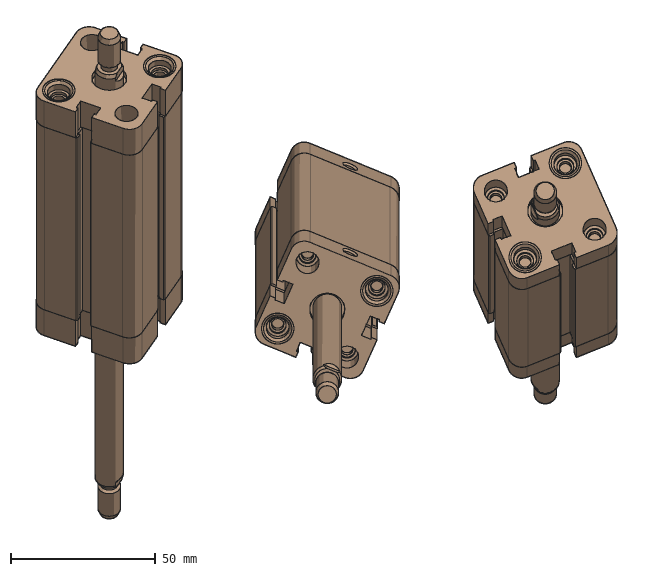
import cadquery as cq

TOTAL_LENGTH = 233.0
TOP_OVERHANG = 22.0
HOUSING_LENGTH = 114.0
CAP_LENGTH = 12.5
HOUSING_TOP = TOTAL_LENGTH - TOP_OVERHANG
HOUSING_BOTTOM = HOUSING_TOP - HOUSING_LENGTH
BARREL_LENGTH = HOUSING_LENGTH - 2 * CAP_LENGTH
HOUSING_MIDDLE = HOUSING_BOTTOM + HOUSING_LENGTH / 2

HOUSING_WIDTH = 40.3
BARREL_CORNER_RADIUS = 5.1
CAP_CORNER_RADIUS = 5.0

SLOT_DEPTH = 5.5
SLOT_LIP = 2.0
CAP_SLOT_MOUTH = 6.3
CAP_SLOT_INNER = 7.7
BARREL_SLOT_MOUTH = 5.0
BARREL_SLOT_INNER = 6.3
BARREL_SLOT_FLARE = 0.5
SLOT_ANGLES = (0, 90, -90)

ROD_DIAMETER = 10.0
ROD_CHAMFER = 0.7
ROD_CHAMFER_LENGTH = 1.5
STUD_DIAMETER = 8.0
STUD_LENGTH = 16.0
STUD_TIP_CHAMFER = 2.0
STUD_TIP_DIAMETER = 6.3
NECK_DIAMETER = 5.8
NECK_LENGTH = 3.0
NECK_TAPER = 0.7
FLAT_WIDTH = 8.0
FLAT_LENGTH = 2.8
BORE_RIM_DIAMETER = 12.0
BORE_RIM_DEPTH = 2.3

HOLE_OFFSET = 13.0
HOLE_DIAMETER = 8.0
PLAIN_HOLE_DEPTH = 8.2
SEATED_HOLE_DEPTH = 3.7
CORE_RIM_DIAMETER = 5.8
CORE_RIM_LENGTH = 1.2
CORE_DIAMETER = 4.2
CORE_LENGTH = 3.5
SEAT_DIAMETER = 11.2
SEAT_DEPTH = 0.2
SEAT_SINK_DIAMETER = 9.8

PORT_DIAMETER = 4.2
PORT_RIM_DIAMETER = 5.5
PORT_DEPTH = 7.0
PORT_FROM_END = 7.5


def square_block(corner_radius, length, base):
    """Upright square bar with rounded vertical edges."""
    block = cq.Workplane("XY", origin=(0, 0, base)).rect(HOUSING_WIDTH, HOUSING_WIDTH).extrude(length)
    return block.edges("|Z").fillet(corner_radius)


def cut_slots(body, mouth, inner, flare=0):
    """Cut the T-slots along the full height of a housing section, widened by a flare at the outer edge."""
    outside = HOUSING_WIDTH / 2
    lip = outside - SLOT_LIP
    floor = outside - SLOT_DEPTH
    half_outline = [(floor, inner / 2), (lip, inner / 2), (lip, mouth / 2)]
    half_outline.append((outside - flare, mouth / 2))
    if flare:
        half_outline.append((outside, mouth / 2 + flare))
    other_half = [(x, -y) for x, y in reversed(half_outline)]
    slot = cq.Workplane("XY").polyline(half_outline + other_half).close().extrude(TOTAL_LENGTH)
    for angle in SLOT_ANGLES:
        body = body.cut(slot.rotate((0, 0, 0), (0, 0, 1), angle))
    return body


def bore(diameter, depth, x, y, top):
    """Vertical cylinder reaching down from a given height, for cutting."""
    return cq.Workplane("XY", origin=(x, y, top)).circle(diameter / 2).extrude(-depth)


def countersink(rim_diameter, diameter):
    """Cutting cone with its rim at the origin, narrowing at 45 degrees along -Z."""
    rim = rim_diameter / 2
    root = diameter / 2
    profile = cq.Workplane("XZ").polyline([(0, 0), (rim, 0), (root, root - rim), (0, root - rim)])
    return profile.close().revolve(360, (0, 0, 0), (0, 1, 0))


def mounting_hole(seated):
    """Cutting body for a mounting hole whose rim is at the origin."""
    depth = SEATED_HOLE_DEPTH if seated else PLAIN_HOLE_DEPTH
    hole = bore(HOLE_DIAMETER, depth, 0, 0, 0)
    hole = hole.union(bore(CORE_RIM_DIAMETER, CORE_RIM_LENGTH, 0, 0, -depth))
    hole = hole.union(bore(CORE_DIAMETER, CORE_LENGTH, 0, 0, -depth))
    if seated:
        hole = hole.union(bore(SEAT_DIAMETER, SEAT_DEPTH, 0, 0, 0))
        hole = hole.union(countersink(SEAT_SINK_DIAMETER, HOLE_DIAMETER).translate((0, 0, -SEAT_DEPTH)))
    return hole


def make_barrel():
    base = HOUSING_BOTTOM + CAP_LENGTH
    barrel = square_block(BARREL_CORNER_RADIUS, BARREL_LENGTH, base)
    barrel = cut_slots(barrel, BARREL_SLOT_MOUTH, BARREL_SLOT_INNER, BARREL_SLOT_FLARE)
    return barrel.cut(bore(ROD_DIAMETER, BARREL_LENGTH, 0, 0, base + BARREL_LENGTH))


def make_top_cap():
    base = HOUSING_TOP - CAP_LENGTH
    cap = square_block(CAP_CORNER_RADIUS, CAP_LENGTH, base)
    cap = cut_slots(cap, CAP_SLOT_MOUTH, CAP_SLOT_INNER)

    cap = cap.cut(bore(ROD_DIAMETER, CAP_LENGTH, 0, 0, HOUSING_TOP))
    cap = cap.cut(bore(BORE_RIM_DIAMETER, BORE_RIM_DEPTH, 0, 0, HOUSING_TOP))

    for x_side in (-1, 1):
        for y_side in (-1, 1):
            hole = mounting_hole(seated=x_side == y_side)
            cap = cap.cut(hole.translate((x_side * HOLE_OFFSET, y_side * HOLE_OFFSET, HOUSING_TOP)))

    port = bore(PORT_DIAMETER, PORT_DEPTH, 0, 0, 0).union(countersink(PORT_RIM_DIAMETER, PORT_DIAMETER))
    port = port.rotate((0, 0, 0), (0, 1, 0), -90)
    return cap.cut(port.translate((-HOUSING_WIDTH / 2, 0, HOUSING_TOP - PORT_FROM_END)))


def make_bottom_cap():
    """Mirror image of the top cap about the middle of the housing."""
    return make_top_cap().mirror("XY", (0, 0, HOUSING_MIDDLE))


def rod_flat(side):
    """Cutting body for one wrench flat at the upper end, with a 45 degree run-out."""
    shoulder = TOTAL_LENGTH - STUD_LENGTH
    inner = FLAT_WIDTH / 2
    profile = [
        (inner, shoulder),
        (inner, shoulder - FLAT_LENGTH),
        (inner + ROD_DIAMETER, shoulder - FLAT_LENGTH - ROD_DIAMETER),
        (inner + ROD_DIAMETER, shoulder),
    ]
    points = [(side * x, z) for x, z in profile]
    return cq.Workplane("XZ").polyline(points).close().extrude(ROD_DIAMETER, both=True)


def make_rod():
    rod_radius = ROD_DIAMETER / 2
    stud_radius = STUD_DIAMETER / 2
    neck_radius = NECK_DIAMETER / 2
    tip_radius = STUD_TIP_DIAMETER / 2
    half = [
        (rod_radius, STUD_LENGTH + ROD_CHAMFER_LENGTH),
        (rod_radius - ROD_CHAMFER, STUD_LENGTH),
        (neck_radius, STUD_LENGTH),
        (neck_radius, STUD_LENGTH - NECK_LENGTH + NECK_TAPER),
        (stud_radius, STUD_LENGTH - NECK_LENGTH),
        (stud_radius, STUD_TIP_CHAMFER),
        (tip_radius, 0),
        (0, 0),
    ]
    upper = [(r, TOTAL_LENGTH - d) for r, d in half]
    lower = list(reversed(half))
    rod = cq.Workplane("YZ").polyline(lower + upper).close().revolve(360, (0, 0, 0), (0, 1, 0))
    for side in (-1, 1):
        flat = rod_flat(side)
        rod = rod.cut(flat)
        rod = rod.cut(flat.mirror("XY", (0, 0, TOTAL_LENGTH / 2)))
    return rod


barrel = make_barrel()
top_cap = make_top_cap()
bottom_cap = make_bottom_cap()
rod = make_rod()

result = cq.Compound.makeCompound([barrel.val(), top_cap.val(), bottom_cap.val(), rod.val()])